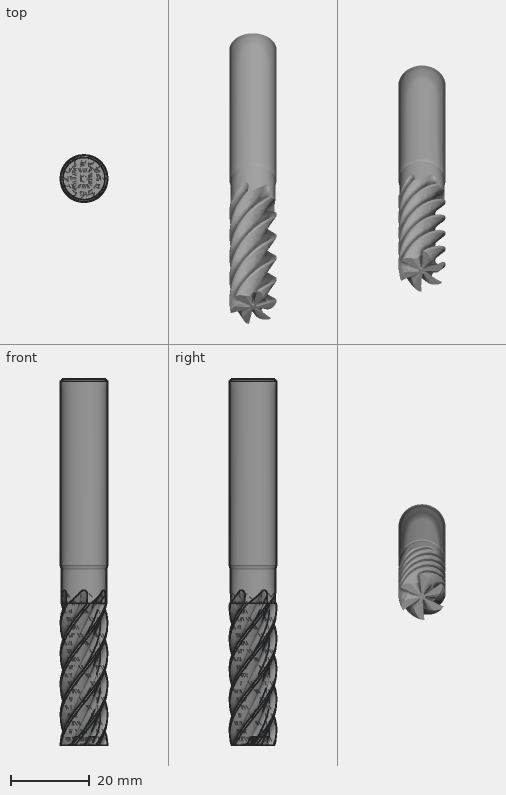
import cadquery as cq
import math

total_length = 93.0
tool_diameter = 12.0
neck_diameter = 11.5
cutter_length = 36.0
shank_start = 45.8
neck_cone_height = 0.9
shank_chamfer = 0.65

flute_count = 6
helix_lead = 46.6
land_angle = 7.5
land_relief = 0.1
back_mid_radius = 5.0
back_mid_angle = 20.0
back_end_radius = 3.7
back_end_angle = 35.0
core_radius = 3.35
core_angle = 46.0
rake_foot_radius = 4.2
rake_foot_angle = 61.0

runout_rise = 3.35
runout_turn = 14.0

gash_height = 2.1
relief_height = 0.4
gash_inner_radius = 0.7
gash_angle = 24.0
relief_angle = 38.0

cut_overrun = 0.9

tool_radius = tool_diameter / 2
neck_radius = neck_diameter / 2
flute_pitch = 360 / flute_count
cutter_twist = 360 * cutter_length / helix_lead
gash_lean_angle = 360 * gash_height / helix_lead
outside_radius = tool_radius + cut_overrun


def polar(radius, angle):
    """Point in a plane at a radius and an angle in degrees."""
    turn = math.radians(angle)
    return (radius * math.cos(turn), radius * math.sin(turn))


def add_flute(outline, start):
    """Continue an outline from the back of one land to the next cutting edge."""
    return (
        outline.threePointArc(
            polar(back_mid_radius, start + back_mid_angle),
            polar(back_end_radius, start + back_end_angle),
        )
        .threePointArc(
            polar(core_radius, start + core_angle),
            polar(rake_foot_radius, start + rake_foot_angle),
        )
        .lineTo(*polar(tool_radius, start + flute_pitch))
    )


def fluted_section():
    """Closed cross-section of the cutter, with a cutting edge on +X."""
    outline = cq.Workplane("XY").moveTo(tool_radius, 0)
    for index in range(flute_count):
        start = index * flute_pitch
        outline = outline.lineTo(*polar(tool_radius - land_relief, start + land_angle))
        outline = add_flute(outline, start)
    return outline.close()


def end_gash():
    """Wedge in front of the cutting edge on +X, widening away from the axis."""
    sections = []
    for radius in (gash_inner_radius, outside_radius):
        lean = radius * math.radians(gash_lean_angle)
        gash_width = radius * math.radians(gash_angle)
        relief_width = radius * math.radians(relief_angle)
        points = [
            (0, -cut_overrun),
            (0, 0),
            (lean, gash_height),
            (lean - gash_width, gash_height),
            (-gash_width, relief_height),
            (-relief_width, 0),
            (-relief_width, -cut_overrun),
        ]
        corners = [cq.Vector(radius, across, height) for across, height in points]
        sections.append(cq.Wire.makePolygon(corners, close=True))
    return cq.Workplane(cq.Solid.makeLoft(sections, True))


def make_cutter():
    """Fluted cutter with gashed end teeth."""
    cutter = fluted_section().twistExtrude(cutter_length, cutter_twist)
    gash = end_gash()
    for index in range(flute_count):
        turned = gash.rotate((0, 0, 0), (0, 0, 1), index * flute_pitch)
        cutter = cutter.cut(turned)
    return cutter


def flute_runout():
    """One flute leaving the neck at a slant, upward and outward."""
    land_end = polar(tool_radius - land_relief, land_angle)
    outline = add_flute(cq.Workplane("XY").moveTo(*land_end), 0)
    outline = outline.lineTo(*polar(outside_radius, flute_pitch))
    outline = outline.lineTo(*polar(outside_radius, land_angle)).close()
    face = cq.Face.makeFromWires(outline.val())
    outward = polar(neck_radius - core_radius, core_angle + runout_turn)
    slant = cq.Vector(*outward, runout_rise)
    return (
        cq.Workplane(cq.Solid.extrudeLinear(face, slant))
        .rotate((0, 0, 0), (0, 0, 1), cutter_twist)
        .translate((0, 0, cutter_length))
    )


def make_shank():
    """Round shank with its neck, cut by the ends of the flutes."""
    shank = (
        cq.Workplane("XZ")
        .moveTo(0, cutter_length)
        .lineTo(neck_radius, cutter_length)
        .lineTo(neck_radius, shank_start - neck_cone_height)
        .lineTo(tool_radius, shank_start)
        .lineTo(tool_radius, total_length - shank_chamfer)
        .lineTo(tool_radius - shank_chamfer, total_length)
        .lineTo(0, total_length)
        .close()
        .revolve(360, (0, 0, 0), (0, 1, 0))
    )
    runout = flute_runout()
    for index in range(flute_count):
        shank = shank.cut(runout.rotate((0, 0, 0), (0, 0, 1), index * flute_pitch))
    return shank


cutter = make_cutter()
shank = make_shank()
result = cq.Compound.makeCompound([shank.val(), cutter.val()])